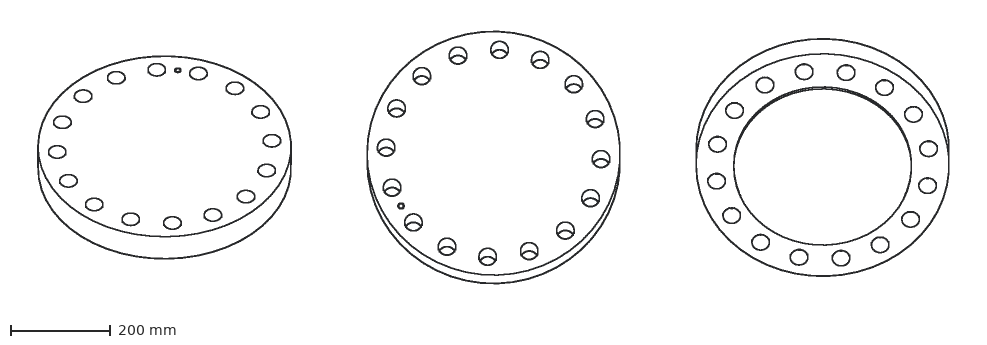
import cadquery as cq
import math

disc_diameter = 508.0
disc_thickness = 63.5

face_diameter = 356.5
face_height = 8.0

bolt_count = 16
bolt_circle_diameter = 431.5
bolt_hole_diameter = 35.0

ring_outer_diameter = 12.0
ring_line_width = 1.25
ring_depth = 0.5
ring_angle = 90.0 + 360.0 / bolt_count / 2


def make_body():
    """Disc with a concentric raised face on its underside."""
    disc = cq.Workplane("XY").circle(disc_diameter / 2).extrude(disc_thickness)
    face = cq.Workplane("XY").circle(face_diameter / 2).extrude(-face_height)
    return disc.union(face)


def cut_bolt_holes(body):
    """Ring of through holes outside the raised face."""
    return (
        body.faces(">Z")
        .workplane(origin=(0, 0, disc_thickness))
        .polarArray(bolt_circle_diameter / 2, 0, 360, bolt_count)
        .hole(bolt_hole_diameter)
    )


def cut_engraved_ring(body):
    """Shallow circular groove in the top surface."""
    angle = math.radians(ring_angle)
    x = bolt_circle_diameter / 2 * math.cos(angle)
    y = bolt_circle_diameter / 2 * math.sin(angle)
    outer_radius = ring_outer_diameter / 2
    groove = (
        cq.Workplane("XY", origin=(x, y, disc_thickness))
        .circle(outer_radius)
        .circle(outer_radius - ring_line_width)
        .extrude(-ring_depth)
    )
    return body.cut(groove)


result = cut_engraved_ring(cut_bolt_holes(make_body()))